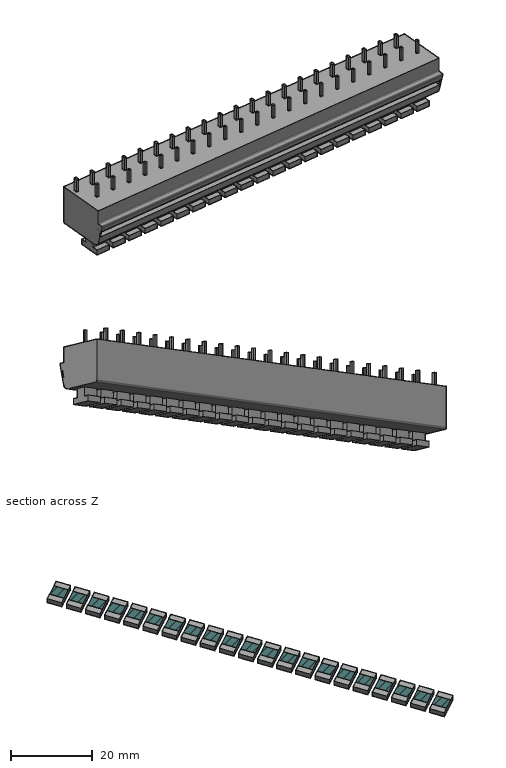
import cadquery as cq

length = 106.5
width = 15.0
total_height = 18.1

pole_count = 21
end_plate = 1.5
pole_pitch = (length - end_plate) / pole_count

pin_height = 3.7
lever_height = 3.7
pin_top_z = total_height / 2
lever_bottom_z = -total_height / 2
body_top_z = pin_top_z - pin_height
body_bottom_z = lever_bottom_z + lever_height

left_x = -width / 2
right_x = width / 2
ledge_depth = 1.5
wall_height = 3.8
nose_height = 0.5
wall_x = right_x - ledge_depth
ledge_z = body_top_z - wall_height
nose_z = ledge_z - nose_height
slope_run = 1.5
slope_drop = 5.3
slope_foot_x = right_x - slope_run
slope_foot_z = nose_z - slope_drop
curve_start_x = 3.3
curve_mid_x = 5.0
curve_mid_height = 0.15
bottom_fillet = 0.4
ledge_fillet = 0.2

groove_floor_x = 5.0
groove_top_z = -0.4
groove_height = 1.7
groove_end_wall = 0.3
mouth_end_wall = 0.2
mouth_depth = 0.4

pin_thickness = 0.6
pin_stagger = pole_pitch / 4
left_pin_x = -4.2
left_pin_width = 1.0
right_pin_x = left_pin_x + pole_pitch
right_pin_width = 0.6

lever_x = 1.3
lever_length = 3.8
lever_offset = 0.4
stem_width = 3.0
foot_width = 6.1
foot_height = 1.5


def prism(outline, end_wall):
    """Extrude an XZ outline along Y, stopping end_wall short of both ends of the bar."""
    return outline.close().extrude(length / 2 - end_wall, both=True)


def block(x_size, y_size, z_low, z_high, x, y):
    """Box centred on (x, y) between two heights."""
    return cq.Workplane("XY", origin=(x, y, z_low)).rect(x_size, y_size).extrude(z_high - z_low)


def slope_x(z):
    """X of the sloping face at height z."""
    return right_x - slope_run * (nose_z - z) / slope_drop


def make_body():
    outline = (
        cq.Workplane("XZ")
        .moveTo(left_x, body_bottom_z)
        .lineTo(left_x, body_top_z)
        .lineTo(wall_x, body_top_z)
        .lineTo(wall_x, ledge_z)
        .lineTo(right_x, ledge_z)
        .lineTo(right_x, nose_z)
        .lineTo(slope_foot_x, slope_foot_z)
        .threePointArc((curve_mid_x, body_bottom_z + curve_mid_height), (curve_start_x, body_bottom_z))
    )
    body = prism(outline, 0)
    body = body.edges("|Y and <X and <Z").fillet(bottom_fillet)
    ledge_edges = cq.selectors.BoxSelector(
        (wall_x - ledge_fillet, -length, ledge_z - ledge_fillet),
        (right_x + ledge_fillet, length, ledge_z + ledge_fillet),
    )
    return body.edges("|Y").edges(ledge_edges).fillet(ledge_fillet)


def make_groove():
    bottom_z = groove_top_z - groove_height
    top_x = slope_x(groove_top_z)
    bottom_x = slope_x(bottom_z)
    outer = [(top_x, groove_top_z), (bottom_x, bottom_z)]
    floor = [(groove_floor_x, bottom_z), (groove_floor_x, groove_top_z)]
    step = [(bottom_x - mouth_depth, bottom_z), (top_x - mouth_depth, groove_top_z)]
    channel = prism(cq.Workplane("XZ").polyline(outer + floor), groove_end_wall)
    mouth = prism(cq.Workplane("XZ").polyline(outer + step), mouth_end_wall)
    return channel.union(mouth)


def make_pins(pole_y):
    left = block(left_pin_width, pin_thickness, body_top_z, pin_top_z, left_pin_x, pole_y - pin_stagger)
    right = block(right_pin_width, pin_thickness, body_top_z, pin_top_z, right_pin_x, pole_y + pin_stagger)
    return left.union(right)


def make_lever(pole_y):
    y = pole_y + lever_offset
    stem = block(stem_width, lever_length, lever_bottom_z, body_bottom_z, lever_x, y)
    foot = block(foot_width, lever_length, lever_bottom_z, lever_bottom_z + foot_height, lever_x, y)
    return stem.union(foot)


result = make_body().cut(make_groove())
for pole in range(pole_count):
    pole_y = -length / 2 + (pole + 0.5) * pole_pitch
    result = result.union(make_pins(pole_y)).union(make_lever(pole_y))